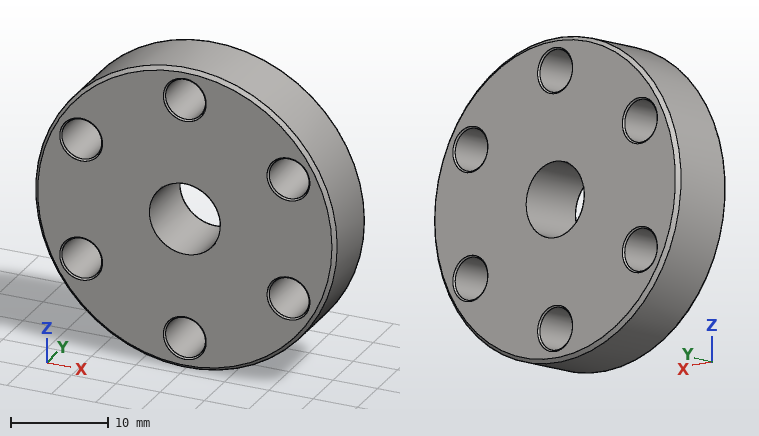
import cadquery as cq

disc_diameter = 34.0
disc_thickness = 7.6
rim_chamfer = 0.4

bore_diameter = 8.0
bolt_count = 6
bolt_circle_radius = 13.5
bolt_hole_diameter = 4.5
bolt_hole_chamfer = 0.17


def make_cylinder(diameter):
    """Cylinder along Y spanning the full disc thickness."""
    back_plane = cq.Workplane("XZ", origin=(0, disc_thickness / 2, 0))
    return back_plane.circle(diameter / 2).extrude(disc_thickness)


def make_bolt_hole():
    """Cutter along Y that flares outward at both disc faces."""
    hole_radius = bolt_hole_diameter / 2
    mouth_radius = hole_radius + bolt_hole_chamfer
    face_y = disc_thickness / 2
    flare_start_y = face_y - bolt_hole_chamfer
    return (
        cq.Workplane("XY")
        .moveTo(0, -face_y)
        .lineTo(mouth_radius, -face_y)
        .lineTo(hole_radius, -flare_start_y)
        .lineTo(hole_radius, flare_start_y)
        .lineTo(mouth_radius, face_y)
        .lineTo(0, face_y)
        .close()
        .revolve(360, (0, 0, 0), (0, 1, 0))
    )


result = make_cylinder(disc_diameter).faces("<Y or >Y").chamfer(rim_chamfer)
result = result.cut(make_cylinder(bore_diameter))

first_bolt_hole = make_bolt_hole().translate((0, 0, bolt_circle_radius))
for index in range(bolt_count):
    angle = index * 360 / bolt_count
    result = result.cut(first_bolt_hole.rotate((0, 0, 0), (0, 1, 0), angle))